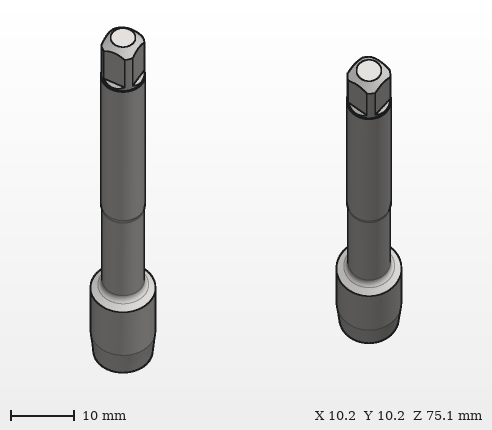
import cadquery as cq
import math

thread_radius = 10.2 / 2
tip_radius = 9.4 / 2
tip_height = 4.7
thread_top = 15.0

shoulder_angle = math.radians(35)
shoulder_cone_radius = 7.95 / 2
neck_radius = 6.7 / 2
blend_sweep = math.pi / 2 - shoulder_angle

shank_radius = 7.0 / 2
neck_top = 34.5
shank_bottom = 35.2
shank_top = 66.25
shank_chamfer_height = 0.15

overall_height = 75.1
drive_radius = 6.75 / 2
drive_width = 5.6
drive_flat_bottom = 67.1
end_face_radius = 3.9 / 2
end_cone_height = drive_radius - end_face_radius


def make_thread_section():
    """Cylinder that tapers inward to the bottom face."""
    return (
        cq.Workplane("XZ")
        .moveTo(0, 0)
        .lineTo(tip_radius, 0)
        .lineTo(thread_radius, tip_height)
        .lineTo(thread_radius, thread_top)
        .lineTo(0, thread_top)
        .close()
        .revolve(360, (0, 0), (0, 1))
    )


def make_round_shank():
    """Shoulder, neck, shank and round blank for the drive, as one turned solid."""
    cone_top = thread_top + (thread_radius - shoulder_cone_radius) * math.tan(shoulder_angle)
    blend_radius = (shoulder_cone_radius - neck_radius) / (1 - math.cos(blend_sweep))
    neck_bottom = cone_top + blend_radius * math.sin(blend_sweep)
    blend_middle = (
        neck_radius + blend_radius * (1 - math.cos(blend_sweep / 2)),
        neck_bottom - blend_radius * math.sin(blend_sweep / 2),
    )
    return (
        cq.Workplane("XZ")
        .moveTo(0, thread_top)
        .lineTo(thread_radius, thread_top)
        .lineTo(shoulder_cone_radius, cone_top)
        .threePointArc(blend_middle, (neck_radius, neck_bottom))
        .lineTo(neck_radius, neck_top)
        .lineTo(shank_radius, shank_bottom)
        .lineTo(shank_radius, shank_top - shank_chamfer_height)
        .lineTo(drive_radius, shank_top)
        .lineTo(drive_radius, overall_height - end_cone_height)
        .lineTo(end_face_radius, overall_height)
        .lineTo(0, overall_height)
        .close()
        .revolve(360, (0, 0), (0, 1))
    )


def make_flat_cutter():
    """Cutter for the +X flat, with a 45 degree runout at its lower end."""
    inner = drive_width / 2
    outer = thread_radius
    return (
        cq.Workplane("XZ")
        .moveTo(inner, drive_flat_bottom)
        .lineTo(outer, drive_flat_bottom - (outer - inner))
        .lineTo(outer, overall_height)
        .lineTo(inner, overall_height)
        .close()
        .extrude(thread_radius, both=True)
    )


def make_shank():
    """Turned shank with the four flats of the square drive."""
    shank = make_round_shank()
    flat_cutter = make_flat_cutter()
    for angle in (0, 90, 180, 270):
        shank = shank.cut(flat_cutter.rotate((0, 0, 0), (0, 0, 1), angle))
    return shank


thread_section = make_thread_section()
shank = make_shank()

result = cq.Compound.makeCompound([thread_section.val(), shank.val()])